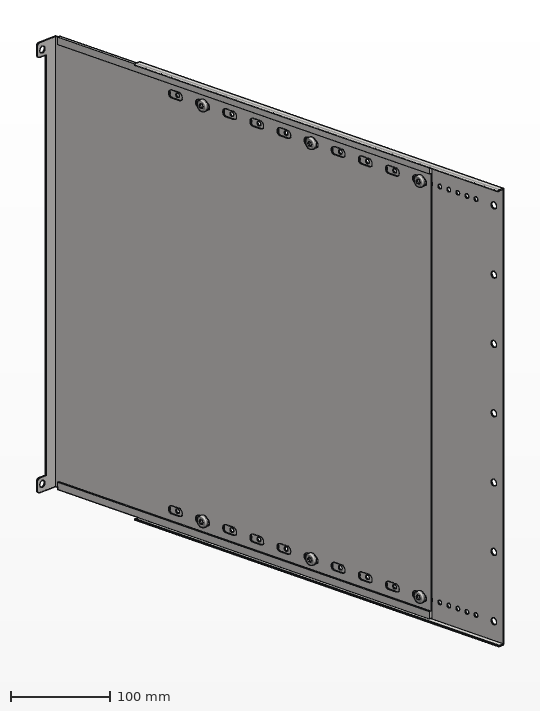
import cadquery as cq

total_length = 620.0
total_height = 494.5
left_end = -total_length / 2
right_end = total_length / 2
sheet = 1.55

tray_length = 503.0
tray_depth = 9.0
tray_bend = 2.2
tray_lip = 2.0
tray_left = right_end - tray_length

row_z = 225.0
hole_pitch = 12.5
hole_count = 36
hole_diameter = 5.0
hole_row_right_x = 272.0

mount_x = 297.0
mount_count = 7
mount_pitch = 2 * row_z / (mount_count - 1)
mount_diameter = 7.5

panel_right_x = 211.5
panel_height = 489.5
hem_left_x = left_end + 6.0
hem_depth = 4.0
hem_width = 8.0
panel_back = -sheet
panel_front = panel_back - sheet

flange_height = 487.0
flange_edge_y = -17.0
ear_end_y = -30.0
ear_height = 16.0
ear_corner = 4.0
ear_hole_diameter = 7.5
ear_hole_y = -22.5
ear_hole_inset = 8.5

slot_count = 10
slot_pitch = 3 * hole_pitch
slot_length = 19.0
slot_width = 8.5
slot_first_x = -142.5

screw_diameter = 6.0
screw_tip_y = 6.0
screw_tip_chamfer = 1.0
head_diameter = 13.0
head_height = 4.0
head_round = 2.0
socket_across_corners = 5.5
socket_depth = 2.0
socket_sides = 6
screw_columns = 3
screw_spacing = 12 * hole_pitch
last_screw_x = hole_row_right_x - 6 * hole_pitch
screw_xs = [last_screw_x - i * screw_spacing for i in range(screw_columns)]
screw_points = [(x, side * row_z) for x in screw_xs for side in (-1, 1)]


def box(x0, x1, y0, y1, z0, z1):
    """Axis-aligned block between two opposite corners."""
    block = cq.Workplane("XY").box(x1 - x0, y1 - y0, z1 - z0, centered=False)
    return block.translate((x0, y0, z0))


def front_plane(y):
    """Workplane facing -Y at the given Y, with local axes along X and Z."""
    return cq.Workplane("XZ", origin=(0, y, 0))


def sheet_holes(points, diameter):
    """Round cutters through the tray sheet at the given (X, Z) points."""
    return front_plane(0).pushPoints(points).circle(diameter / 2).extrude(sheet)


def make_tray():
    """Channel with rounded bends and narrow return lips, open at both ends."""
    half = total_height / 2
    inside = half - sheet
    mouth = half - tray_lip
    tray = box(tray_left, right_end, -tray_depth, 0, -half, half)
    tray = tray.edges("|X and >Y").fillet(tray_bend)
    tray = tray.edges("|X and <Y").fillet(tray_lip)
    tray = tray.cut(box(tray_left, right_end, -tray_depth + sheet, -sheet, -inside, inside))
    tray = tray.cut(box(tray_left, right_end, -tray_depth, -sheet, -mouth, mouth))

    row_xs = [hole_row_right_x - i * hole_pitch for i in range(hole_count)]
    row_points = [(x, side * row_z) for x in row_xs for side in (-1, 1)]
    mount_points = [(mount_x, -row_z + i * mount_pitch) for i in range(mount_count)]
    tray = tray.cut(sheet_holes(row_points, hole_diameter))
    tray = tray.cut(sheet_holes(mount_points, mount_diameter))
    return tray.cut(sheet_holes(screw_points, screw_diameter))


def make_hem(side):
    """Edge of the panel folded flat onto its front; side is +1 (top) or -1 (bottom)."""
    edge = panel_height / 2
    hem = box(hem_left_x, panel_right_x, panel_back - hem_depth, panel_back, edge - hem_width, edge)
    return hem if side > 0 else hem.mirror("XY")


def make_end_flange():
    """Flange along the left end, bent toward -Y, with a holed ear at each end."""
    half = flange_height / 2
    ear_inner = half - ear_height
    flange = box(left_end, left_end + sheet, flange_edge_y, panel_back, -half, half)
    for side in (-1, 1):
        low, high = sorted((side * ear_inner, side * half))
        ear = box(left_end, left_end + sheet, ear_end_y, flange_edge_y, low, high)
        ear = ear.edges("|X and <Y").fillet(ear_corner)
        hole_z = side * (half - ear_hole_inset)
        hole = (
            cq.Workplane("YZ", origin=(left_end, ear_hole_y, hole_z))
            .circle(ear_hole_diameter / 2)
            .extrude(sheet)
        )
        flange = flange.union(ear.cut(hole))
    return flange


def make_panel():
    """Sliding panel: slotted sheet, two hems and the end flange."""
    half_flange = flange_height / 2
    half_panel = panel_height / 2
    panel = box(hem_left_x, panel_right_x, panel_front, panel_back, -half_panel, half_panel)
    panel = panel.union(box(left_end, hem_left_x, panel_front, panel_back, -half_flange, half_flange))
    panel = panel.union(make_end_flange())
    for side in (-1, 1):
        panel = panel.union(make_hem(side))
    slot_xs = [slot_first_x + i * slot_pitch for i in range(slot_count)]
    slot_points = [(x, side * row_z) for x in slot_xs for side in (-1, 1)]
    slots = front_plane(panel_back).pushPoints(slot_points).slot2D(slot_length, slot_width).extrude(sheet)
    return panel.cut(slots)


def make_screw(x, z):
    """Round-headed socket screw, its head on the panel and its tip behind the tray."""
    shank_length = screw_tip_y - panel_front
    shank = cq.Workplane("XZ", origin=(x, screw_tip_y, z)).circle(screw_diameter / 2).extrude(shank_length)
    shank = shank.faces(">Y").chamfer(screw_tip_chamfer)
    head = cq.Workplane("XZ", origin=(x, panel_front, z)).circle(head_diameter / 2).extrude(head_height)
    head = head.faces("<Y").edges().fillet(head_round)
    socket = (
        cq.Workplane("XZ", origin=(x, panel_front - head_height + socket_depth, z))
        .polygon(socket_sides, socket_across_corners)
        .extrude(socket_depth)
    )
    return shank.union(head).cut(socket)


tray = make_tray()
panel = make_panel()
screws = [make_screw(x, z) for x, z in screw_points]

result = cq.Compound.makeCompound([tray.val(), panel.val(), *[screw.val() for screw in screws]])